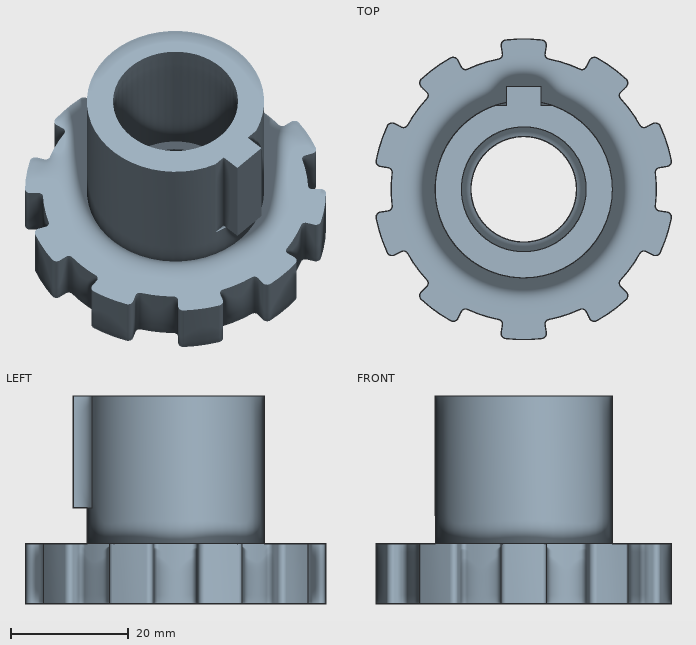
import cadquery as cq
import math

TIP_RADIUS = 25.5
ROOT_RADIUS = 22.45
TOOTH_COUNT = 10
PITCH_ANGLE = 360 / TOOTH_COUNT
GAP_ANGLE = PITCH_ANGLE / 2
TIP_FILLET = 0.9
ROOT_FILLET = 0.75
FLANGE_HEIGHT = 10.2

TOTAL_HEIGHT = 35.2
HUB_RADIUS = 30.0 / 2
HUB_BORE_RADIUS = 21.15 / 2
FLANGE_BORE_RADIUS = 17.85 / 2

KEY_WIDTH = 5.85
KEY_TOP_Y = 17.4
KEY_LENGTH = 18.95
FLAT_Y = 14.15
KEY_BASE_Z = TOTAL_HEIGHT - KEY_LENGTH


def polar(radius, angle):
    """Point at a radius and an angle in degrees from +Y."""
    turn = math.radians(angle)
    return radius * math.sin(turn), radius * math.cos(turn)


def make_gap_cutter():
    """Space between two teeth: radial flanks and a round floor."""
    half_gap = GAP_ANGLE / 2
    outer_radius = TIP_RADIUS + TIP_FILLET
    return (
        cq.Workplane("XY")
        .moveTo(*polar(ROOT_RADIUS, -half_gap))
        .threePointArc(polar(ROOT_RADIUS, 0), polar(ROOT_RADIUS, half_gap))
        .lineTo(*polar(outer_radius, half_gap))
        .lineTo(*polar(outer_radius, -half_gap))
        .close()
        .extrude(FLANGE_HEIGHT)
    )


def edges_at_radius(body, radius):
    """Vertical edges of a body that lie at a given distance from the Z axis."""
    tolerance = 0.005
    return [
        edge for edge in body.edges("|Z").vals()
        if abs(math.hypot(edge.Center().x, edge.Center().y) - radius) < tolerance
        and edge.geomType() == "LINE"
    ]


def make_flange():
    flange = cq.Workplane("XY").circle(TIP_RADIUS).extrude(FLANGE_HEIGHT)
    cutter = make_gap_cutter()
    for index in range(TOOTH_COUNT):
        flange = flange.cut(cutter.rotate((0, 0, 0), (0, 0, 1), (index + 0.5) * PITCH_ANGLE))
    for radius, fillet in ((ROOT_RADIUS, ROOT_FILLET), (TIP_RADIUS, TIP_FILLET)):
        flange = flange.newObject(edges_at_radius(flange, radius)).fillet(fillet)
    return flange


def make_hub():
    hub = cq.Workplane("XY").circle(HUB_RADIUS).extrude(TOTAL_HEIGHT)
    flat_cutter = cq.Workplane("XY").box(
        2 * HUB_RADIUS, HUB_RADIUS, KEY_LENGTH, centered=(True, False, False)
    ).translate((0, FLAT_Y, KEY_BASE_Z))
    return hub.cut(flat_cutter)


def make_key():
    inner_y = (HUB_BORE_RADIUS + HUB_RADIUS) / 2
    return cq.Workplane("XY").box(
        KEY_WIDTH, KEY_TOP_Y - inner_y, KEY_LENGTH, centered=(True, False, False)
    ).translate((0, inner_y, KEY_BASE_Z))


def make_bore():
    through = cq.Workplane("XY").circle(FLANGE_BORE_RADIUS).extrude(TOTAL_HEIGHT)
    hub_bore = (
        cq.Workplane("XY")
        .workplane(offset=FLANGE_HEIGHT)
        .circle(HUB_BORE_RADIUS)
        .extrude(TOTAL_HEIGHT - FLANGE_HEIGHT)
    )
    return through.union(hub_bore)


result = make_flange().union(make_hub()).union(make_key()).cut(make_bore())